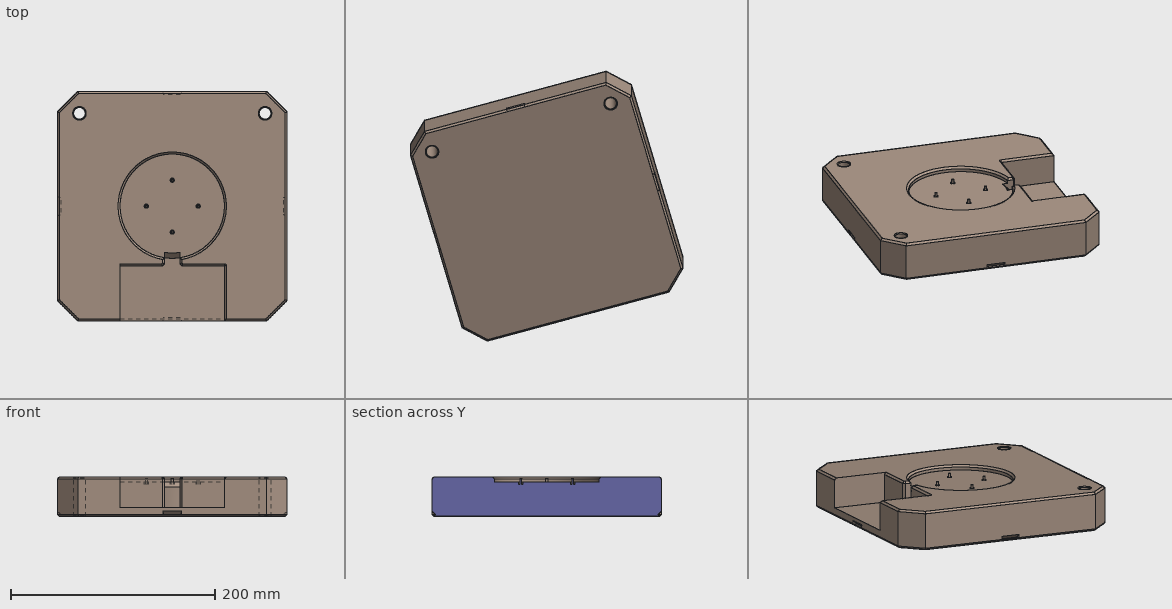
import cadquery as cq

side = 225.0
height = 38.7
corner_cut = 20.0
edge_bevel = 2.0
top_z = height / 2
bottom_z = -top_z
front_y = -side / 2

dish_radius = 51.0
dish_depth = 5.0
dish_floor_z = top_z - dish_depth

tray_width = 102.2
tray_back_y = -58.5
tray_floor_z = bottom_z + 8.8
passage_width = 15.0
ramp_size = 5.2

pin_diameter = 2.0
pin_height = 3.4
pin_circle_radius = 25.5
well_diameter = 4.0
well_depth = 2.0

hole_diameter = 11.5
hole_bevel = 1.0
hole_offset = 91.0

notch_width = 18.5
notch_floor_z = bottom_z + 1.8
notch_size = 3.4
notch_side_taper = 1.0


def make_block():
    """Square block with cut corners and bevelled top and bottom rims."""
    block = cq.Workplane("XY").box(side, side, height)
    block = block.edges("|Z").chamfer(corner_cut)
    return block.faces("<Z or >Z").edges().chamfer(edge_bevel)


def box_between(x_min, x_max, y_min, y_max, z_min, z_max):
    """Axis-aligned box given by its limits."""
    size = (x_max - x_min, y_max - y_min, z_max - z_min)
    return cq.Workplane("XY").box(*size, centered=False).translate((x_min, y_min, z_min))


def make_dish():
    """Dish cavity with its bevelled rim."""
    profile = [
        (0, dish_floor_z),
        (dish_radius, dish_floor_z),
        (dish_radius, top_z - edge_bevel),
        (dish_radius + edge_bevel, top_z),
        (0, top_z),
    ]
    return cq.Workplane("XZ").polyline(profile).close().revolve(360, (0, 0), (0, 1))


def make_tray():
    """Tray and passage with straight walls, ending on the dish cylinder."""
    tray = tray_outline(tray_floor_z, front_y, 0).extrude(top_z - tray_floor_z)
    dish_core = cq.Workplane("XY").circle(dish_radius).extrude(height, both=True)
    return tray.cut(dish_core)


def tray_outline(z, open_y, passage_end_y):
    """Outline of tray and passage, with bevelled corners where they meet."""
    half_tray = tray_width / 2
    half_passage = passage_width / 2
    right_side = [
        (half_passage, passage_end_y),
        (half_passage, tray_back_y + edge_bevel),
        (half_passage + edge_bevel, tray_back_y),
        (half_tray, tray_back_y),
        (half_tray, open_y),
    ]
    left_side = [(-x, y) for x, y in reversed(right_side)]
    return cq.Workplane("XY", origin=(0, 0, z)).polyline(right_side + left_side).close()


def make_tray_bevel():
    """Bevel along the top rim of tray and passage; the tray's left rim stays sharp."""
    open_y = front_y - 2 * edge_bevel
    passage_end_y = -dish_radius + 2 * edge_bevel
    flare = tray_outline(top_z - edge_bevel, open_y, passage_end_y).extrude(edge_bevel, taper=-45)
    return flare.intersect(box_between(-tray_width / 2, side / 2, -side, 0, bottom_z, top_z))


def make_ramp():
    """Conical bevel where the dish floor drops into the passage."""
    profile = [
        (dish_radius - ramp_size, dish_floor_z),
        (dish_radius, dish_floor_z),
        (dish_radius, dish_floor_z - ramp_size),
    ]
    cone = cq.Workplane("XZ").polyline(profile).close().revolve(360, (0, 0), (0, 1))
    half_passage = passage_width / 2
    return cone.intersect(box_between(-half_passage, half_passage, front_y, 0, bottom_z, top_z))


def make_pin_wells():
    """Four ring-shaped wells around the pins."""
    return (
        cq.Workplane("XY", origin=(0, 0, dish_floor_z))
        .polarArray(pin_circle_radius, 0, 360, 4)
        .circle(well_diameter / 2)
        .extrude(-well_depth)
    )


def make_pins():
    """Four contact pins rising from the well bottoms."""
    return (
        cq.Workplane("XY", origin=(0, 0, dish_floor_z - well_depth))
        .polarArray(pin_circle_radius, 0, 360, 4)
        .circle(pin_diameter / 2)
        .extrude(well_depth + pin_height)
    )


def make_mounting_hole():
    """Through hole with both rims bevelled, centred on the Z axis."""
    radius = hole_diameter / 2
    profile = [
        (0, bottom_z),
        (radius + hole_bevel, bottom_z),
        (radius, bottom_z + hole_bevel),
        (radius, top_z - hole_bevel),
        (radius + hole_bevel, top_z),
        (0, top_z),
    ]
    return cq.Workplane("XZ").polyline(profile).close().revolve(360, (0, 0), (0, 1))


def make_notch():
    """Wedge notch in the front side: flat floor, sloping roof and tapered ends."""
    inner_y = front_y + notch_size
    wedge_profile = [
        (front_y - edge_bevel, notch_floor_z),
        (inner_y, notch_floor_z),
        (front_y, notch_floor_z + notch_size),
        (front_y - edge_bevel, notch_floor_z + notch_size),
    ]
    wedge = cq.Workplane("YZ").polyline(wedge_profile).close().extrude(notch_width, both=True)
    half_front = notch_width / 2
    half_inner = half_front - notch_side_taper
    plan = [
        (-half_front, front_y - edge_bevel),
        (half_front, front_y - edge_bevel),
        (half_front, front_y),
        (half_inner, inner_y),
        (-half_inner, inner_y),
        (-half_front, front_y),
    ]
    return wedge.intersect(cq.Workplane("XY").polyline(plan).close().extrude(height, both=True))


result = make_block().cut(make_dish()).cut(make_tray()).cut(make_tray_bevel()).cut(make_ramp())
result = result.cut(make_pin_wells()).union(make_pins())
for hole_x in (-hole_offset, hole_offset):
    result = result.cut(make_mounting_hole().translate((hole_x, hole_offset, 0)))
for turn in (0, 90, 180, 270):
    result = result.cut(make_notch().rotate((0, 0, 0), (0, 0, 1), turn))